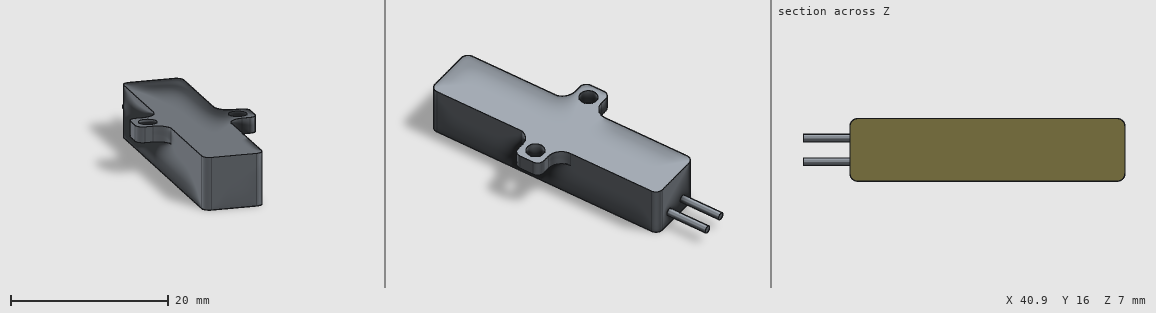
import cadquery as cq
import math

body_length = 35.0
body_width = 8.0
body_height = 7.0
body_corner_radius = 1.0

ear_span = 16.0
ear_width = 4.0
ear_thickness = 2.1
ear_corner_radius = 1.0
ear_hole_diameter = 2.4
ear_hole_spacing = 12.0

root_radius = 2.0
far_root_run = 1.5
far_root_rise = math.sqrt(root_radius**2 - (root_radius - far_root_run) ** 2)

wire_length = 5.9
wire_diameter = 1.0
wire_spacing = 3.0
wire_height = 2.0
wire_embed = 1.0


def make_body():
    return (
        cq.Workplane("XY")
        .box(body_length, body_width, body_height, centered=(True, True, False))
        .edges("|Z")
        .fillet(body_corner_radius)
    )


def make_ear():
    """The +Y ear with its two root blends, rooted on the body's centre plane."""
    flank = ear_width / 2
    wall = body_width / 2
    tip = ear_span / 2
    corner = ear_corner_radius
    near_end = -flank - root_radius
    far_end = flank + far_root_run
    return (
        cq.Workplane("XY")
        .workplane(offset=body_height - ear_thickness)
        .moveTo(near_end, 0)
        .lineTo(near_end, wall)
        .radiusArc((-flank, wall + root_radius), -root_radius)
        .lineTo(-flank, tip - corner)
        .radiusArc((corner - flank, tip), corner)
        .lineTo(flank - corner, tip)
        .radiusArc((flank, tip - corner), corner)
        .lineTo(flank, wall + far_root_rise)
        .radiusArc((far_end, wall), -root_radius)
        .lineTo(far_end, 0)
        .close()
        .extrude(ear_thickness)
    )


def make_ear_holes():
    return (
        cq.Workplane("XY")
        .workplane(offset=body_height - ear_thickness)
        .pushPoints([(0, side * ear_hole_spacing / 2) for side in (-1, 1)])
        .circle(ear_hole_diameter / 2)
        .extrude(ear_thickness)
    )


def make_wires():
    return (
        cq.Workplane("YZ")
        .workplane(offset=-body_length / 2 - wire_length)
        .pushPoints([(side * wire_spacing / 2, wire_height) for side in (-1, 1)])
        .circle(wire_diameter / 2)
        .extrude(wire_length + wire_embed)
    )


ear = make_ear()
result = (
    make_body()
    .union(ear)
    .union(ear.mirror("XZ"))
    .cut(make_ear_holes())
    .union(make_wires())
)